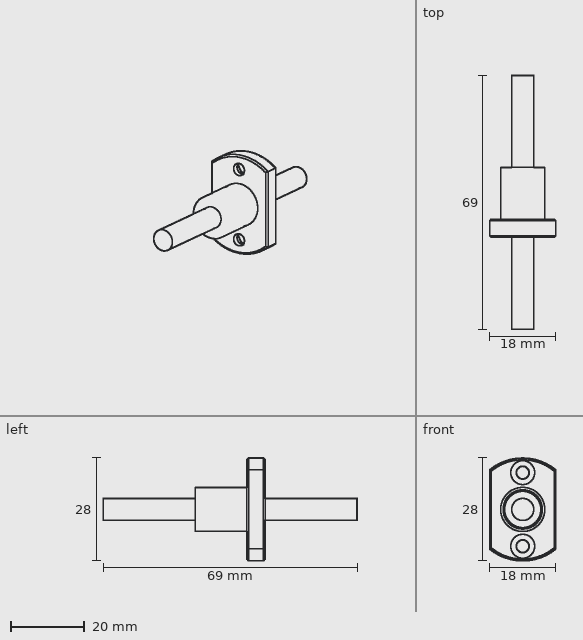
import cadquery as cq

shaft_length = 69.0
shaft_diameter = 6.0

nut_length = 19.0
nut_diameter = 12.0
nut_edge_radius = 0.2
nut_front = -nut_length / 2

flange_diameter = 28.0
flange_width = 18.0
flange_thickness = 5.0
flange_chamfer = 0.5

hole_spacing = 20.0
hole_diameter = 3.4
counterbore_diameter = 6.5
counterbore_depth = 3.3

recess_diameter = 9.85
recess_depth = 0.7
recess_chamfer = 0.4


def cylinder(diameter, start, length, z=0.0):
    """Cylinder along +Y that begins at Y = start."""
    axis_start = cq.Vector(0, start, z)
    return cq.Workplane(cq.Solid.makeCylinder(diameter / 2, length, axis_start, cq.Vector(0, 1, 0)))


def make_flange():
    disc = cylinder(flange_diameter, nut_front, flange_thickness)
    flats = cq.Workplane().box(flange_width, nut_length, flange_diameter)
    flange = disc.intersect(flats)
    flange = flange.faces("<Y or >Y").chamfer(flange_chamfer)
    for z in (-hole_spacing / 2, hole_spacing / 2):
        flange = flange.cut(cylinder(hole_diameter, nut_front, flange_thickness, z))
        flange = flange.cut(cylinder(counterbore_diameter, nut_front, counterbore_depth, z))
    bore = cylinder(nut_diameter, nut_front, flange_thickness)
    return flange.cut(bore)


def make_nut_body():
    body = cylinder(nut_diameter, nut_front, nut_length)
    body = body.faces("<Y or >Y").edges().fillet(nut_edge_radius)
    body = body.cut(cylinder(recess_diameter, nut_front, recess_depth))
    recess_rim = cq.selectors.RadiusNthSelector(0)
    return body.faces("<Y").edges(recess_rim).chamfer(recess_chamfer)


shaft = cylinder(shaft_diameter, -shaft_length / 2, shaft_length)

result = make_flange().union(make_nut_body()).union(shaft)